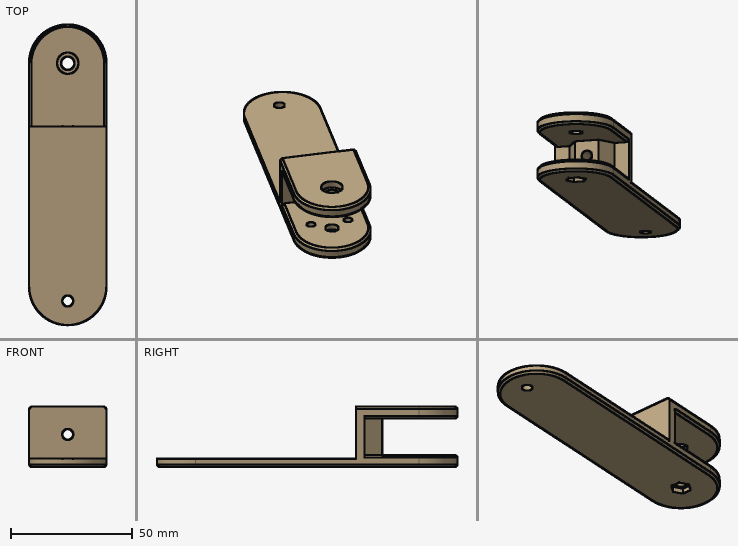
import cadquery as cq
import math

width = 32.0
length = 124.0
height = 25.0
end_radius = width / 2
rim_chamfer = 1.0
y_back = length / 2
y_front = -length / 2

arm_thickness = 3.5
jaw_thickness = 5.0
gap_height = height - 2 * jaw_thickness

wall_y = 20.0
wall_thickness = 3.5
wall_inner_y = wall_y + wall_thickness
rib_depth = 7.5
rib_tip_y = wall_inner_y + rib_depth
rib_flank_angle = 58.0
rib_tip_half_width = 5.0
rib_base_half_width = rib_tip_half_width + rib_depth / math.tan(math.radians(rib_flank_angle))

screw_diameter = 4.4
arm_hole_y = y_front + 10.0
wall_hole_z = 13.5

pivot_y = y_back - end_radius
pivot_diameter = 5.4
head_diameter = 8.8
head_depth = 3.0
nut_diameter = 8.4
nut_depth = 2.5

detent_circle_radius = 9.0
detent_angles = (210, 330)
detent_ball_diameter = 4.0
detent_ball_drop = 1.0


def rounded_bar(bar_height):
    """Flat bar with round ends and chamfered top and bottom rims."""
    blank = cq.Workplane("XY").slot2D(length, width, 90).extrude(bar_height)
    return blank.faces("<Z or >Z").chamfer(rim_chamfer)


def block(y_start, y_end, block_height):
    """Full-width block from the base plane, between two Y positions."""
    centre = (0, (y_start + y_end) / 2, 0)
    return cq.Workplane("XY", origin=centre).rect(width, y_end - y_start).extrude(block_height)


def long_arm():
    """Thin arm, chamfered only along its bottom rim."""
    return rounded_bar(height).intersect(block(y_front, wall_y, arm_thickness))


def jaws():
    lower_jaw = rounded_bar(jaw_thickness)
    upper_jaw = lower_jaw.translate((0, 0, height - jaw_thickness))
    return lower_jaw.union(upper_jaw).intersect(block(wall_inner_y, y_back, height))


def wall():
    return rounded_bar(height).intersect(block(wall_y, wall_inner_y, height))


def rib():
    """Upright rib between the jaws, narrowing towards the pivot."""
    outline = [
        (-rib_base_half_width, wall_inner_y),
        (-rib_tip_half_width, rib_tip_y),
        (rib_tip_half_width, rib_tip_y),
        (rib_base_half_width, wall_inner_y),
    ]
    return cq.Workplane("XY", origin=(0, 0, jaw_thickness)).polyline(outline).close().extrude(gap_height)


def upright_hole(y, diameter, bottom, top):
    """Round cutter on the part's centre plane, between two heights."""
    return cq.Workplane("XY", origin=(0, y, bottom)).circle(diameter / 2).extrude(top - bottom)


def wall_hole():
    start = cq.Workplane("XZ", origin=(0, wall_y, wall_hole_z))
    return start.circle(screw_diameter / 2).extrude(wall_y - rib_tip_y)


def nut_pocket():
    return cq.Workplane("XY", origin=(0, pivot_y, 0)).polygon(6, nut_diameter).extrude(nut_depth)


def detent_ball(angle):
    x = detent_circle_radius * math.cos(math.radians(angle))
    y = pivot_y + detent_circle_radius * math.sin(math.radians(angle))
    z = jaw_thickness - detent_ball_drop
    return cq.Workplane("XY", origin=(x, y, z)).sphere(detent_ball_diameter / 2)


part = long_arm().union(wall()).union(jaws()).union(rib())
part = part.cut(upright_hole(arm_hole_y, screw_diameter, 0, arm_thickness))
part = part.cut(wall_hole())
part = part.cut(upright_hole(pivot_y, pivot_diameter, 0, height))
part = part.cut(upright_hole(pivot_y, head_diameter, height - head_depth, height))
part = part.cut(nut_pocket())
for detent_angle in detent_angles:
    part = part.cut(detent_ball(detent_angle))

result = part